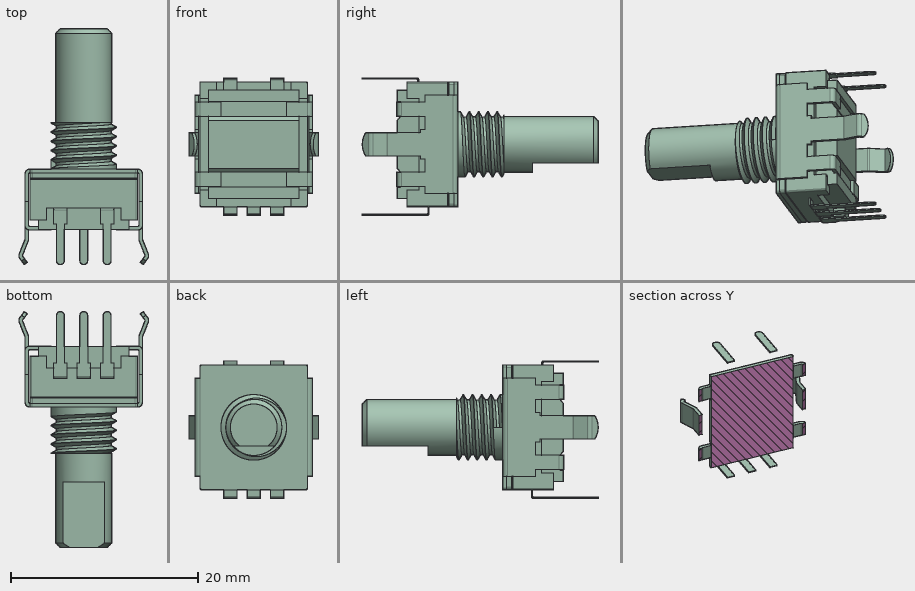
import cadquery as cq
import math


shaft_radius = 3.0
shaft_reach = 15.0
shaft_chamfer = 0.5
flat_length = 7.0
flat_drop = 2.02
journal_radius = 2.27

thread_length = 4.95
thread_turns = 5
thread_pitch = thread_length / thread_turns
thread_radius = 3.5
thread_root_radius = 2.95
crest_width = 0.05
flank_angle = math.radians(30)
flange_back = 0.98
flange_corner = 0.3

sheet = 0.4
bracket_half_width = 6.27
bend_radius = 0.53
arm_half_height = 5.25
arm_back = 3.48
face_corner = 0.23
clamp_top = 4.5
clamp_bottom = 2.97
clamp_back = 6.53
clamp_end = 3.48
tongue_half_height = 1.25
tongue_root_half_height = 1.6
tongue_root_back = 3.95
knee_depth = 7.5
elbow_depth = 9.32
elbow_x = 7.0
tip_depth = 10.2
tip_x = 6.35
elbow_radius = 0.5
tip_bulge = 0.48

body_half_width = 5.75
body_half_height = 6.68
body_corner = 0.18
body_front = 1.08
body_back = 4.15
corner_back = 5.45
corner_half_gap = 3.98
corner_bottom = 4.9
block_half_width = 4.85
block_half_height = 5.8
block_back = 6.48
channel_top = 4.55
channel_slope_end = 2.57

pin_sheet = 0.15
pin_spacing = 2.5
pin_half_width = 0.43
pin_head_half_width = 0.718
pin_end = 10.2
pin_bend_radius = 0.23
upper_pin_height = 7.1
upper_pin_head_end = 5.85
lower_pin_height = 7.59
lower_leg_depth = 3.05
lower_pin_head_end = 4.7


def slab(half_width, half_height, front, back):
    """A block centred on the shaft axis, between two depths behind the mounting face."""
    return (
        cq.Workplane("XZ", origin=(0, -front, 0))
        .rect(2 * half_width, 2 * half_height)
        .extrude(back - front)
    )


def disc(radius, back, front):
    """A cylinder on the shaft axis, from Y = back to Y = front."""
    return cq.Workplane("XZ", origin=(0, front, 0)).circle(radius).extrude(front - back)


def offset_path(points, distance):
    """Moves an open polyline sideways to its left by the given distance, with mitred corners."""
    headings = [
        math.atan2(end[1] - start[1], end[0] - start[0]) for start, end in zip(points, points[1:])
    ]
    moved = []
    for i, (x, y) in enumerate(points):
        before = headings[max(i - 1, 0)]
        after = headings[min(i, len(headings) - 1)]
        half_turn = math.remainder(after - before, 2 * math.pi) / 2
        normal = before + half_turn + math.pi / 2
        reach = distance / math.cos(half_turn)
        moved.append((x + reach * math.cos(normal), y + reach * math.sin(normal)))
    return moved


def bent_strip(plane, path, thickness, width, bend_radii):
    """A strip folded along a path, extruded evenly to both sides of the plane.

    The material lies to the left of the path. Each inner corner of the path has one bend radius:
    positive for the outside of a left turn, negative for the outside of a right turn.
    """
    other_side = offset_path(path, thickness)
    strip = cq.Workplane(plane).polyline(path + other_side[::-1]).close().extrude(width / 2, both=True)
    for near, far, radius in zip(path[1:-1], other_side[1:-1], bend_radii):
        outside, inside = (near, far) if radius > 0 else (far, near)
        for corner, corner_radius in ((outside, abs(radius)), (inside, abs(radius) - thickness)):
            edge = cq.selectors.NearestToPointSelector(plane.toWorldCoords(corner).toTuple())
            strip = strip.edges(edge).fillet(corner_radius)
    return strip


def make_shaft():
    shaft = disc(shaft_radius, thread_length, shaft_reach).faces(">Y").chamfer(shaft_chamfer)
    below_flat = cq.Workplane("XY").box(
        2 * shaft_radius, flat_length, shaft_radius, centered=(True, False, False)
    )
    shaft = shaft.cut(
        below_flat.translate((0, shaft_reach - flat_length, -flat_drop - shaft_radius))
    )
    return shaft.union(disc(journal_radius, -flange_back, thread_length))


def make_thread_groove():
    """A right-handed trapezoidal groove that starts on the -X side, half a pitch above Y = 0."""
    overlap = 0.13
    outer_half = (thread_pitch - crest_width) / 2
    root_half = outer_half - (thread_radius - thread_root_radius) * math.tan(flank_angle)
    overlap_half = outer_half + overlap * math.tan(flank_angle)
    start_height = thread_pitch / 2
    helix = cq.Wire.makeHelix(
        thread_pitch, thread_pitch * thread_turns, thread_root_radius, cq.Vector(0, 0, start_height)
    )
    groove = (
        cq.Workplane("XZ")
        .polyline(
            [
                (thread_root_radius, start_height - root_half),
                (thread_radius + overlap, start_height - overlap_half),
                (thread_radius + overlap, start_height + overlap_half),
                (thread_root_radius, start_height + root_half),
            ]
        )
        .close()
        .sweep(cq.Workplane(helix), isFrenet=True)
    )
    along_shaft = cq.Plane(origin=(0, 0, 0), xDir=(-1, 0, 0), normal=(0, 1, 0))
    return cq.Workplane(groove.val().moved(cq.Location(along_shaft)))


def make_bushing():
    thread = disc(thread_radius, 0, thread_length).cut(make_thread_groove())
    collar = disc(thread_radius, -sheet, 0)
    flange = slab(body_half_width, body_half_height, sheet, flange_back)
    flange = flange.edges("|Y").fillet(flange_corner)
    bore = disc(journal_radius, -flange_back, thread_length)
    return flange.union(collar).union(thread).cut(bore)


def make_clamp(middle_height):
    """A strip of the left arm that runs back and folds in behind the housing."""
    path = [
        (-bracket_half_width, -arm_back),
        (-bracket_half_width, -clamp_back),
        (-clamp_end, -clamp_back),
    ]
    plane = cq.Plane.XY(origin=(0, 0, middle_height))
    return bent_strip(plane, path, sheet, clamp_top - clamp_bottom, [bend_radius])


def make_tongue():
    """The left snap-in tongue: straight, then bent outwards, then inwards to a rounded tip."""
    path = [
        (-bracket_half_width, -arm_back),
        (-bracket_half_width, -knee_depth),
        (-elbow_x, -elbow_depth),
        (-tip_x, -tip_depth),
    ]
    tongue = bent_strip(
        cq.Plane.XY(), path, sheet, 2 * tongue_half_height, [-bend_radius, elbow_radius]
    )
    towards_tip = (elbow_x - tip_x, elbow_depth - tip_depth, 0)
    across_sheet = (tip_depth - elbow_depth, elbow_x - tip_x, 0)
    tip_plane = cq.Plane(origin=(-tip_x, -tip_depth, 0), xDir=towards_tip, normal=across_sheet)
    beyond_tip = (
        cq.Workplane(tip_plane)
        .moveTo(-tip_bulge, -tongue_half_height)
        .threePointArc((0, 0), (-tip_bulge, tongue_half_height))
        .lineTo(tip_bulge, tongue_half_height)
        .lineTo(tip_bulge, -tongue_half_height)
        .close()
        .extrude(sheet)
    )
    return tongue.cut(beyond_tip)


def make_arm():
    """The left half of the bracket behind its front face."""
    front_path = [
        (0, 0),
        (-bracket_half_width, 0),
        (-bracket_half_width, -arm_back),
    ]
    arm = bent_strip(cq.Plane.XY(), front_path, sheet, 2 * arm_half_height, [bend_radius])
    root_path = [(-bracket_half_width, -arm_back), (-bracket_half_width, -tongue_root_back)]
    arm = arm.union(bent_strip(cq.Plane.XY(), root_path, sheet, 2 * tongue_root_half_height, []))
    arm = arm.union(make_tongue())
    clamp_middle = (clamp_bottom + clamp_top) / 2
    for height in (-clamp_middle, clamp_middle):
        arm = arm.union(make_clamp(height))
    return arm


def make_bracket():
    face = slab(bracket_half_width - bend_radius, body_half_height, 0, sheet)
    face = face.edges("|Y").fillet(face_corner)
    arm = make_arm()
    bracket = face.union(arm).union(arm.mirror("YZ"))
    return bracket.cut(disc(thread_radius, -sheet, 0))


def make_housing():
    housing = slab(body_half_width, body_half_height, body_front, body_back)
    rear = slab(body_half_width, body_half_height, body_back, corner_back)
    rear = rear.cut(slab(corner_half_gap, body_half_height, body_back, corner_back))
    rear = rear.cut(slab(body_half_width, corner_bottom, body_back, corner_back))
    block = slab(block_half_width, block_half_height, body_back, block_back)
    channel = (
        cq.Workplane("YZ", origin=(-block_half_width, 0, 0))
        .polyline(
            [
                (-block_back, channel_top),
                (sheet - clamp_back, channel_top),
                (sheet - clamp_back, clamp_bottom),
                (-block_back, channel_slope_end),
            ]
        )
        .close()
        .extrude(2 * block_half_width)
    )
    block = block.cut(channel).cut(channel.mirror("XY"))
    housing = housing.union(rear)
    housing = housing.edges("|Y and (>X or (<X and <Z)) and (>Z or <Z)").fillet(body_corner)
    return housing.union(block)


def make_pin(x, leg_depth, leg_start, height, head_end):
    """A sheet pin whose short leg stands on the housing and whose blade runs straight back."""
    half_span = pin_head_half_width
    path = [(-leg_depth, leg_start), (-leg_depth, height), (-pin_end, height)]
    profile = bent_strip(cq.Plane.YZ(), path, pin_sheet, 2 * half_span, [pin_bend_radius])
    tip_start = pin_end - pin_half_width
    plan = (
        cq.Workplane("XY", origin=(0, 0, leg_start))
        .moveTo(-half_span, -leg_depth)
        .lineTo(-half_span, -head_end)
        .lineTo(-pin_half_width, -head_end)
        .lineTo(-pin_half_width, -tip_start)
        .threePointArc((0, -pin_end), (pin_half_width, -tip_start))
        .lineTo(pin_half_width, -head_end)
        .lineTo(half_span, -head_end)
        .lineTo(half_span, -leg_depth)
        .close()
        .extrude(height - leg_start)
    )
    return profile.intersect(plan).translate((x, 0, 0))


shaft = make_shaft()
bushing = make_bushing()
bracket = make_bracket()
housing = make_housing()

upper_pins = [
    make_pin(x, body_back, block_half_height, upper_pin_height, upper_pin_head_end)
    for x in (-pin_spacing, pin_spacing)
]
lower_pins = [
    make_pin(x, lower_leg_depth, body_half_height, lower_pin_height, lower_pin_head_end).mirror("XY")
    for x in (-pin_spacing, 0, pin_spacing)
]
pins = upper_pins + lower_pins

result = cq.Compound.makeCompound(
    [shaft.val(), bushing.val(), bracket.val(), housing.val(), *[pin.val() for pin in pins]]
)